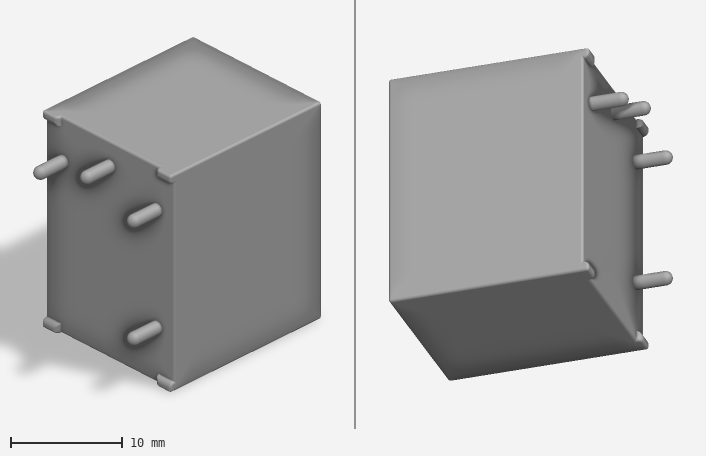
import cadquery as cq


width = 16.5
height = 22.5
overall_depth = 22.0
edge_radius = 0.25

foot_rise = 0.52
foot_width = 2.0
foot_height = 1.0

pin_radius = 0.65
pin_length = 3.5
pin_spacing = 6.0
middle_pin_z = 8.7
upper_pin_z = 6.68
lower_pin_z = -5.51

housing_depth = overall_depth - pin_length
pin_centres = [
    (0, middle_pin_z),
    (-pin_spacing, upper_pin_z),
    (pin_spacing, upper_pin_z),
    (pin_spacing, lower_pin_z),
]


def foot_strip(plane, outer, length, run):
    """Bar on the base face whose inner top edge is a full quarter round.

    The profile reaches from `outer` inwards by `length`, and the bar is `run` long.
    """
    inner = outer - length
    flat_end = inner + foot_rise
    arc_inset = foot_rise * (1 - 0.5 ** 0.5)
    return (
        cq.Workplane(plane)
        .moveTo(outer, 0)
        .lineTo(outer, -foot_rise)
        .lineTo(flat_end, -foot_rise)
        .threePointArc((inner + arc_inset, arc_inset - foot_rise), (inner, 0))
        .close()
        .extrude(run / 2, both=True)
    )


def make_foot():
    """Foot at the +X, +Z corner: two crossing bars leave mitred quarter rounds."""
    across_x = foot_strip(cq.Plane((0, 0, 0), (1, 0, 0), (0, 0, 1)), width / 2, foot_width, height)
    across_z = foot_strip(cq.Plane((0, 0, 0), (0, 0, 1), (-1, 0, 0)), height / 2, foot_height, width)
    return across_x.intersect(across_z)


def make_housing():
    """Box with a foot at each base corner and every outer edge rounded."""
    housing = cq.Workplane("XY").box(width, housing_depth, height, centered=(True, False, True))
    right_upper = make_foot()
    left_upper = right_upper.mirror("YZ")
    for foot in (right_upper, left_upper, right_upper.mirror("XY"), left_upper.mirror("XY")):
        housing = housing.union(foot)
    outer_faces = housing.faces("<X or >X or <Z or >Z")
    return outer_faces.edges().fillet(edge_radius)


def make_pin(x, z):
    """Pin standing on the base face, with a hemispherical tip, turned about its own axis."""
    dome_start = pin_radius - pin_length
    dome_offset = pin_radius * 0.5 ** 0.5
    half_profile = (
        cq.Workplane("XY", origin=(x, 0, z))
        .lineTo(pin_radius, 0)
        .lineTo(pin_radius, dome_start)
        .threePointArc((dome_offset, dome_start - dome_offset), (0, -pin_length))
        .close()
    )
    return half_profile.revolve(360, (0, 0), (0, 1))


housing = make_housing()
pins = [make_pin(x, z) for x, z in pin_centres]

result = cq.Compound.makeCompound([housing.val(), *[pin.val() for pin in pins]])